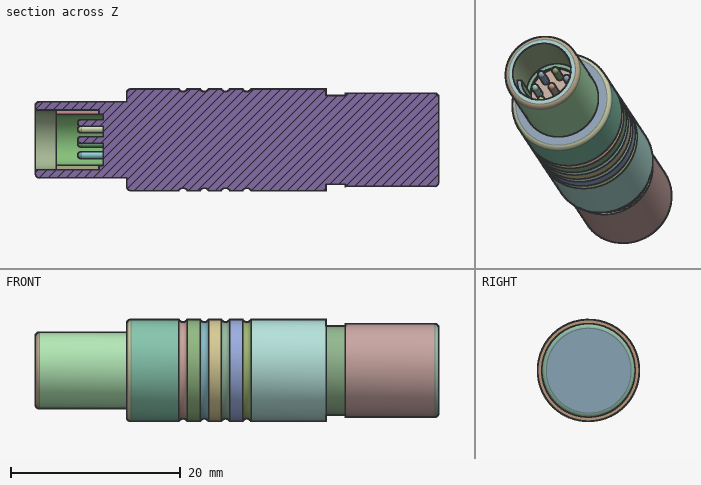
import cadquery as cq
import math

total_length = 47.5
body_start = 10.75
body_end = 34.25
neck_end = 36.5

nose_radius = 4.5
body_radius = 6.0
neck_radius = 5.25
tail_radius = 5.5
edge_round = 0.5

groove_count = 4
groove_start = 16.9
groove_pitch = 2.5
groove_width = 1.0
groove_depth = 0.3

socket_radius = 3.5
key_inner_radius = 3.0
key_front_depth = 2.5
upper_bore_depth = 7.5
floor_depth = 8.0

pin_radius = 0.4
pin_length = 3.0
pin_ring_radius = 2.0
pin_ring_count = 7


def rod(radius, x_start, x_end, y=0.0, z=0.0):
    """Solid cylinder along +X, centred on (y, z)."""
    return (
        cq.Workplane("YZ", origin=(x_start, y, z))
        .circle(radius)
        .extrude(x_end - x_start)
    )


def make_barrel():
    """Stepped round barrel: nose, body, neck and tail."""
    nose = rod(nose_radius, 0, body_start).faces("<X").edges().fillet(edge_round)
    body = rod(body_radius, body_start, body_end).faces("<X").edges().fillet(edge_round)
    neck = rod(neck_radius, body_end, neck_end)
    tail = rod(tail_radius, neck_end, total_length).faces(">X").edges().fillet(edge_round)
    return nose.union(body).union(neck).union(tail)


def make_groove(x_start):
    """Ring-shaped cutter with an arc-shaped bottom."""
    x_end = x_start + groove_width
    x_middle = x_start + groove_width / 2
    clear_radius = body_radius + groove_depth
    return (
        cq.Workplane("XY")
        .moveTo(x_start, clear_radius)
        .lineTo(x_start, body_radius)
        .threePointArc((x_middle, body_radius - groove_depth), (x_end, body_radius))
        .lineTo(x_end, clear_radius)
        .close()
        .revolve(360, (0, 0, 0), (1, 0, 0))
    )


def make_socket():
    """Cutter for the nose socket, leaving the half-shell standing below the XY plane."""
    full_bore = rod(socket_radius, 0, key_front_depth)
    upper_half = cq.Workplane("XY").box(
        upper_bore_depth, 2 * socket_radius, socket_radius, centered=(False, True, False)
    )
    upper_bore = rod(socket_radius, 0, upper_bore_depth).intersect(upper_half)
    inner_bore = rod(key_inner_radius, 0, floor_depth)
    return full_bore.union(upper_bore).union(inner_bore)


def make_pin(y, z):
    """Contact pin rising from the socket floor, ending in a hemisphere."""
    tip_centre = floor_depth - pin_length + pin_radius
    shank = rod(pin_radius, tip_centre, floor_depth + pin_radius, y, z)
    tip = cq.Workplane("XY", origin=(tip_centre, y, z)).sphere(pin_radius)
    return shank.union(tip)


result = make_barrel()

for groove_index in range(groove_count):
    result = result.cut(make_groove(groove_start + groove_index * groove_pitch))

result = result.cut(make_socket())

result = result.union(make_pin(0, 0))
for pin_index in range(pin_ring_count):
    angle = pin_index * 2 * math.pi / pin_ring_count
    pin_y = pin_ring_radius * math.cos(angle)
    pin_z = pin_ring_radius * math.sin(angle)
    result = result.union(make_pin(pin_y, pin_z))